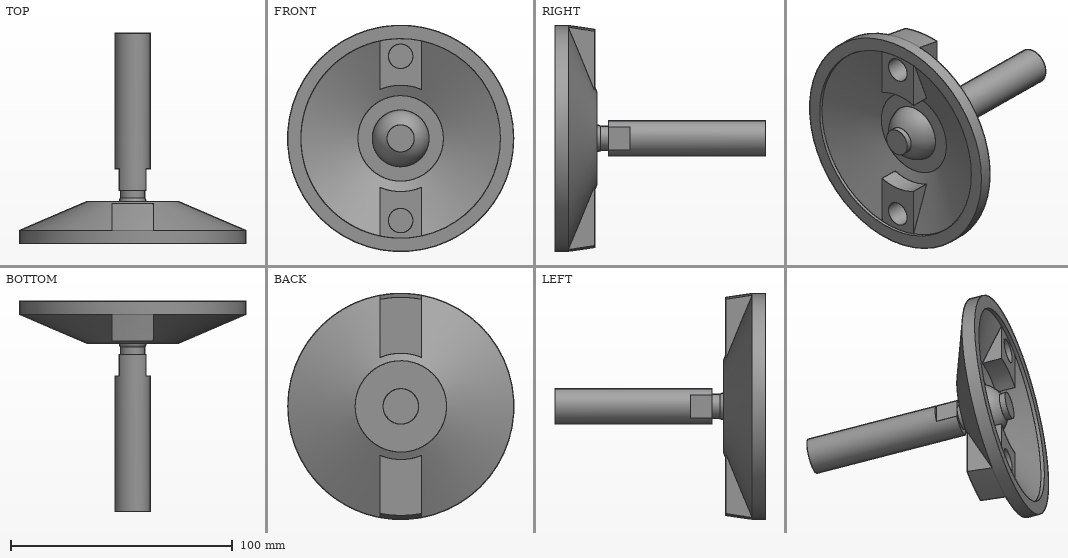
import cadquery as cq
import math

plate_radius = 51.0
rim_height = 6.0
plate_height = 19.1
crown_radius = 20.6
opening_radius = 45.0
lip_depth = 1.6
ceiling_radius = 19.3
ceiling_y = 12.8

lug_width = 18.7
lug_top_y = 18.1
lug_top_radius = 49.2
lug_inner_radius = 24.0
lug_hole_radius = 5.5
lug_hole_depth = 12.2
lug_hole_offset = 37.0

stem_end_y = 95.0
rod_diameter = 16.0
rod_radius = rod_diameter / 2
flats_start_y = 24.1
flats_end_y = 33.8
flats_width = 12.1
neck_radius = 5.5
collar_radius = 6.0
neck_start_y = 20.6
collar_step = collar_radius - neck_radius
collar_height = neck_start_y - plate_height
collar_arc_radius = (collar_step**2 + collar_height**2) / (2 * collar_step)
ball_radius = 13.1
ball_center_y = 15.3
tip_radius = 6.1
tip_y = 1.0
ball_tip_y = ball_center_y - math.sqrt(ball_radius**2 - tip_radius**2)


def revolve_about_y(profile):
    return profile.close().revolve(360, (0, 0, 0), (0, 1, 0))


def cylinder_along_y(radius, start_y, end_y, z):
    """Cylinder parallel to Y, with its axis at X = 0 and the given Z."""
    start = cq.Vector(0, start_y, z)
    return cq.Workplane(cq.Solid.makeCylinder(radius, end_y - start_y, start, cq.Vector(0, 1, 0)))


def make_plate_shell():
    profile = (
        cq.Workplane("XY")
        .moveTo(opening_radius, 0)
        .lineTo(plate_radius, 0)
        .lineTo(plate_radius, rim_height)
        .lineTo(crown_radius, plate_height)
        .lineTo(0, plate_height)
        .lineTo(0, ceiling_y)
        .lineTo(ceiling_radius, ceiling_y)
        .lineTo(opening_radius, lip_depth)
    )
    return revolve_about_y(profile)


def make_lugs():
    """Two opposite lugs: a tapered ring trimmed to the lug width."""
    ring = revolve_about_y(
        cq.Workplane("XY")
        .moveTo(lug_inner_radius, lip_depth)
        .lineTo(opening_radius, lip_depth)
        .lineTo(plate_radius, rim_height)
        .lineTo(lug_top_radius, lug_top_y)
        .lineTo(lug_inner_radius, lug_top_y)
    )
    strip = cq.Workplane("XY").box(lug_width, 2 * plate_height, 2 * plate_radius)
    return ring.intersect(strip)


def make_plate(stem):
    """Plate with lugs, blind lug holes and a central seat that matches the stem."""
    plate = make_plate_shell().union(make_lugs())
    hole_end_y = lip_depth + lug_hole_depth
    for side in (-1, 1):
        plate = plate.cut(cylinder_along_y(lug_hole_radius, 0, hole_end_y, side * lug_hole_offset))
    return plate.cut(stem)


def make_stem():
    """Revolved half-ball foot, neck and rod, with two wrench flats facing X."""
    profile = (
        cq.Workplane("XY")
        .moveTo(0, tip_y)
        .lineTo(tip_radius, tip_y)
        .lineTo(tip_radius, ball_tip_y)
        .radiusArc((ball_radius, ball_center_y), -ball_radius)
        .lineTo(collar_radius, ball_center_y)
        .lineTo(collar_radius, plate_height)
        .radiusArc((neck_radius, neck_start_y), -collar_arc_radius)
        .lineTo(neck_radius, flats_start_y)
        .lineTo(rod_radius, flats_start_y)
        .lineTo(rod_radius, stem_end_y)
        .lineTo(0, stem_end_y)
    )
    stem = revolve_about_y(profile)
    flats_length = flats_end_y - flats_start_y
    flats_center_y = (flats_start_y + flats_end_y) / 2
    cut_depth = rod_radius
    for side in (-1, 1):
        cutter = cq.Workplane("XY").box(cut_depth, flats_length, 2 * rod_radius)
        stem = stem.cut(cutter.translate((side * (flats_width + cut_depth) / 2, flats_center_y, 0)))
    return stem


stem = make_stem()
plate = make_plate(stem)
result = cq.Compound.makeCompound([plate.val(), stem.val()])